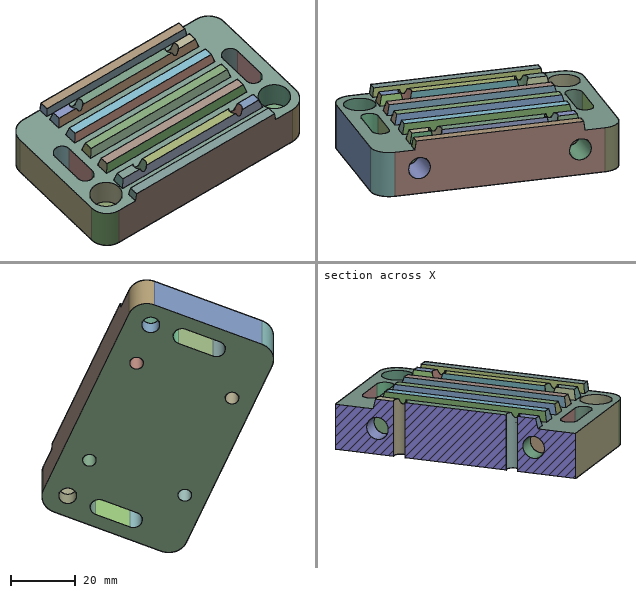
import cadquery as cq

LENGTH_X = 48.0
LENGTH_Y = 80.0
TOTAL_HEIGHT = 18.0
RIB_HEIGHT = 3.25
BASE_HEIGHT = TOTAL_HEIGHT - RIB_HEIGHT
CORNER_RADIUS = 6.0

RIB_COUNT = 5
RIB_PITCH = 8.0
RIB_ROW_CENTER_X = -0.75
RIB_FOOT_WIDTH = 4.5
RIB_FOOT_LENGTH = 55.0
RIB_SIDE_INSET = 0.8

EDGE_RIB_HEIGHT = 2.95
EDGE_RIB_FOOT_WIDTH = 3.5
EDGE_RIB_FOOT_LENGTH = RIB_FOOT_LENGTH
EDGE_RIB_INSET = 0.45

SCREW_HOLE_DIAMETER = 4.2
SCREW_HOLE_SPACING_X = (RIB_COUNT - 1) * RIB_PITCH
SCREW_HOLE_SPACING_Y = 37.5
SCREW_HOLES_CENTER_X = -1.0

MOUNT_Y = 33.0
SLOT_LENGTH = 17.0
MOUNT_HOLE_DIAMETER = 5.5
COUNTERBORE_X = 16.25
COUNTERBORE_DIAMETER = 10.0
COUNTERBORE_DEPTH = 9.0

SIDE_HOLE_DIAMETER = 7.0
SIDE_HOLE_DEPTH = 12.0
SIDE_HOLE_Y = 26.0
SIDE_HOLE_Z = 8.5


def make_base():
    """Rectangular block with rounded vertical corners, standing on Z = 0."""
    block = cq.Workplane("XY").box(LENGTH_X, LENGTH_Y, BASE_HEIGHT, centered=(True, True, False))
    return block.edges("|Z").fillet(CORNER_RADIUS)


def make_tapered_rib(center_x, foot_width, foot_length, height, inset):
    """Rib along Y whose four sides lean inward by the inset over its height."""
    return (
        cq.Workplane("XY", origin=(center_x, 0, BASE_HEIGHT))
        .rect(foot_width, foot_length)
        .workplane(offset=height)
        .rect(foot_width - 2 * inset, foot_length - 2 * inset)
        .loft(ruled=True)
    )


def add_full_ribs(body):
    """Evenly spaced row of full ribs."""
    first_x = RIB_ROW_CENTER_X - (RIB_COUNT - 1) * RIB_PITCH / 2
    for index in range(RIB_COUNT):
        center_x = first_x + index * RIB_PITCH
        rib = make_tapered_rib(center_x, RIB_FOOT_WIDTH, RIB_FOOT_LENGTH, RIB_HEIGHT, RIB_SIDE_INSET)
        body = body.union(rib)
    return body


def add_edge_ribs(body):
    """Double-width ribs centred on the block sides and trimmed flush with them."""
    trim = cq.Workplane("XY").box(LENGTH_X, LENGTH_Y, TOTAL_HEIGHT, centered=(True, True, False))
    for side in (-1, 1):
        rib = make_tapered_rib(
            side * LENGTH_X / 2,
            2 * EDGE_RIB_FOOT_WIDTH,
            EDGE_RIB_FOOT_LENGTH,
            EDGE_RIB_HEIGHT,
            EDGE_RIB_INSET,
        )
        body = body.union(rib.intersect(trim))
    return body


def cut_screw_holes(body):
    """Four through holes interrupting the first and last full ribs."""
    holes = (
        cq.Workplane("XY", origin=(SCREW_HOLES_CENTER_X, 0, 0))
        .rect(SCREW_HOLE_SPACING_X, SCREW_HOLE_SPACING_Y, forConstruction=True)
        .vertices()
        .circle(SCREW_HOLE_DIAMETER / 2)
        .extrude(TOTAL_HEIGHT)
    )
    return body.cut(holes)


def cut_mounting_features(body):
    """A through slot and a counterbored hole at each end of the block."""
    for end_y in (-MOUNT_Y, MOUNT_Y):
        slot = (
            cq.Workplane("XY", origin=(0, end_y, 0))
            .slot2D(SLOT_LENGTH, MOUNT_HOLE_DIAMETER)
            .extrude(BASE_HEIGHT)
        )
        hole = (
            cq.Workplane("XY", origin=(COUNTERBORE_X, end_y, 0))
            .circle(MOUNT_HOLE_DIAMETER / 2)
            .extrude(BASE_HEIGHT)
        )
        counterbore = (
            cq.Workplane("XY", origin=(COUNTERBORE_X, end_y, BASE_HEIGHT - COUNTERBORE_DEPTH))
            .circle(COUNTERBORE_DIAMETER / 2)
            .extrude(COUNTERBORE_DEPTH)
        )
        body = body.cut(slot).cut(hole).cut(counterbore)
    return body


def cut_side_holes(body):
    """Two blind holes running in from the -X side."""
    for hole_y in (-SIDE_HOLE_Y, SIDE_HOLE_Y):
        hole = (
            cq.Workplane("YZ", origin=(-LENGTH_X / 2, hole_y, SIDE_HOLE_Z))
            .circle(SIDE_HOLE_DIAMETER / 2)
            .extrude(SIDE_HOLE_DEPTH)
        )
        body = body.cut(hole)
    return body


body = add_full_ribs(make_base())
body = add_edge_ribs(body)
body = cut_screw_holes(body)
body = cut_mounting_features(body)
result = cut_side_holes(body)